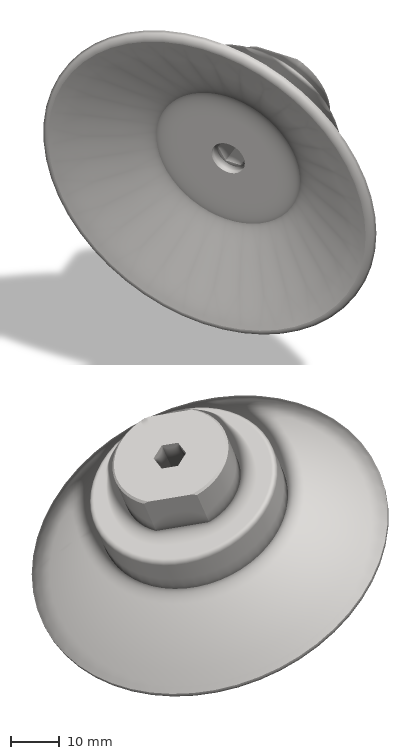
import cadquery as cq
import math

cup_radius = 38.0
collar_radius = 20.0
boss_radius = 12.4
boss_across_flats = 22.05

total_height = 33.0
collar_top = 23.0
collar_bottom = 13.8
collar_round = 1.0
boss_chamfer = 0.45

bevel_top = 2.8
bevel_radius = 36.85
band_top = 1.8
lip_round = 1.4
hollow_rim_radius = 36.4

flank_bulge = 0.75
hollow_depth = 10.0
hollow_floor_radius = 16.5

hex_across_flats = 6.0
counterbore_radius = 3.8
counterbore_depth = 2.35


def bulged_midpoint(start, end, bulge):
    """Middle point of an arc that bulges away from the hollow by the given height."""
    run = end[0] - start[0]
    rise = end[1] - start[1]
    chord = math.hypot(run, rise)
    middle_x = (start[0] + end[0]) / 2
    middle_y = (start[1] + end[1]) / 2
    return (middle_x + bulge * abs(rise) / chord, middle_y + bulge * abs(run) / chord)


def make_cup_and_collar():
    """Collar and hollow cup, revolved as one profile."""
    flank_start = (collar_radius, collar_bottom)
    flank_end = (bevel_radius, bevel_top)

    lip_center_radius = cup_radius - lip_round
    lip_inset = lip_center_radius - hollow_rim_radius
    lip_inner = (hollow_rim_radius, lip_round - math.sqrt(lip_round**2 - lip_inset**2))
    lip_bottom = (lip_center_radius, 0)
    hollow_edge = (hollow_floor_radius, hollow_depth)

    profile = (
        cq.Workplane("XY")
        .moveTo(0, hollow_depth)
        .lineTo(0, collar_top)
        .lineTo(collar_radius, collar_top)
        .lineTo(*flank_start)
        .threePointArc(bulged_midpoint(flank_start, flank_end, flank_bulge), flank_end)
        .lineTo(cup_radius, band_top)
        .lineTo(cup_radius, lip_round)
        .threePointArc(lip_bottom, lip_inner)
        .lineTo(*hollow_edge)
        .close()
    )
    body = profile.revolve(360, (0, 0, 0), (0, 1, 0))
    return body.faces(">Y").edges().fillet(collar_round)


def plane_at(height):
    """Sketch plane across the axis, facing +Y."""
    return cq.Workplane(cq.Plane(origin=(0, height, 0), xDir=(1, 0, 0), normal=(0, 1, 0)))


def make_boss():
    """Chamfered round boss with two parallel wrench flats facing +Z and -Z."""
    boss_height = total_height - collar_top
    boss = plane_at(collar_top).circle(boss_radius).extrude(boss_height)
    boss = boss.faces(">Y").edges().chamfer(boss_chamfer)
    flats = plane_at(collar_top).rect(2 * boss_radius, boss_across_flats).extrude(boss_height)
    return boss.intersect(flats)


def make_passage():
    """Cutter for the counterbore and the through hexagon, whose corners point along X."""
    hex_corner_diameter = hex_across_flats / math.cos(math.pi / 6)
    hexagon = plane_at(0).polygon(6, hex_corner_diameter).extrude(total_height)
    counterbore = plane_at(hollow_depth).circle(counterbore_radius).extrude(counterbore_depth)
    return hexagon.union(counterbore)


result = make_cup_and_collar().union(make_boss()).cut(make_passage())